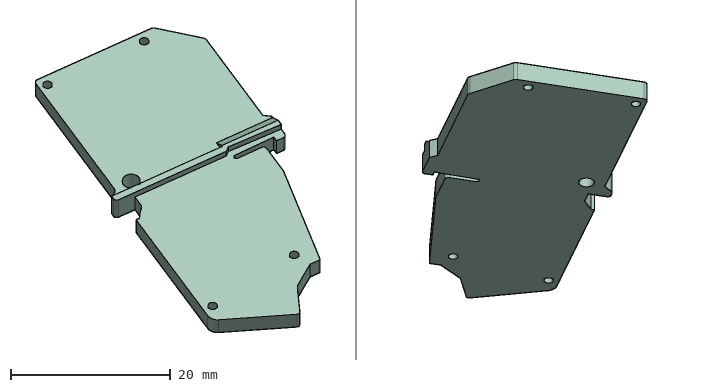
import cadquery as cq

LENGTH = 49.15
WIDTH = 24.2
PLATE_THICKNESS = 2.55
TOTAL_HEIGHT = 3.5

LEFT_BOTTOM_Y = 1.3
LEFT_TOP_Y = 23.35
LEFT_CORNER_CUT = 4.8
LEFT_CORNER_RADIUS = 0.55
CUT_CORNER_RADIUS = 0.65

SPINE_LEFT_X = 21.6
SPINE_RIGHT_X = 22.55
SPINE_CORNER_RADIUS = 0.45
FOOT_START_X = 20.4
FOOT_START_RADIUS = 0.4
FOOT_END_X = 21.4
FOOT_END_RADIUS = 0.6
SPINE_HEAD_LEFT_X = 19.85
SPINE_HEAD_FLARE = 0.7
SPINE_BEND_Y = 16.05
SPINE_BEND_RISE = 0.6
SPINE_NECK_X = 22.05
SPINE_TOP_RIGHT_X = 22.25

RAMP_START_X = 20.1
RAMP_END_X = 21.45

HOOK_RIGHT_X = 23.6
HOOK_BOTTOM_Y = 22.75
SLOT_TOP_LEFT_X = 22.9
SLOT_WIDTH = 0.6
SLOT_END_Y = 16.8

RIGHT_TOP_Y = 21.1
RIGHT_BOTTOM_Y = 1.15
SHOULDER_X = 28.25
STEP_X = 42.95
STEP_TOP_Y = 17.9
STEP_BOTTOM_Y = 16.4
NOTCH_X = 45.15
NOTCH_Y = 13.25
TIP_OVERSHOOT = 0.15
TIP_X = LENGTH + TIP_OVERSHOOT
TIP_Y = 11.3
TIP_RADIUS = 0.45
HEEL_X = 44.55
HEEL_RADIUS = 1.45
PANEL_CORNER_RADIUS = 0.5
STEP_RADIUS = 0.2

RELIEF_TOP_Y = 2.85
RELIEF_START_X = 24.2
RELIEF_END_X = 25.8
RELIEF_END_Y = 1.55

PIN_HOLE_RADIUS = 0.6
PIN_HOLE_CENTERS = [(1.4, 2.45), (1.4, 16.45), (40.65, 15.45), (42.65, 2.45)]
PIVOT_CENTER = (20.1, 3.75)
PIVOT_TOP_RADIUS = 1.15
PIVOT_BOTTOM_RADIUS = 1.0


def round_vertical_edge(solid, x, y, radius):
    """Fillet the vertical edge that passes closest to (x, y)."""
    edge = cq.selectors.NearestToPointSelector((x, y, PLATE_THICKNESS / 2))
    return solid.edges("|Z").edges(edge).fillet(radius)


def make_plate():
    """Flat plate holding both panels, the spine and the slot."""
    slot_left_x = HOOK_RIGHT_X - SLOT_WIDTH
    slot_radius = SLOT_WIDTH / 2
    slot_arc_y = SLOT_END_Y + slot_radius
    plate = (
        cq.Workplane("XY")
        .moveTo(0, LEFT_BOTTOM_Y)
        .lineTo(FOOT_START_X, LEFT_BOTTOM_Y)
        .lineTo(FOOT_END_X, 0)
        .lineTo(SPINE_RIGHT_X, 0)
        .lineTo(SPINE_RIGHT_X, RELIEF_TOP_Y)
        .lineTo(RELIEF_START_X, RELIEF_TOP_Y)
        .lineTo(RELIEF_END_X, RELIEF_END_Y)
        .lineTo(RELIEF_END_X, RIGHT_BOTTOM_Y)
        .lineTo(HEEL_X, RIGHT_BOTTOM_Y)
        .lineTo(TIP_X, TIP_Y)
        .lineTo(NOTCH_X, NOTCH_Y)
        .lineTo(STEP_X, STEP_BOTTOM_Y)
        .lineTo(STEP_X, STEP_TOP_Y)
        .lineTo(SHOULDER_X, RIGHT_TOP_Y)
        .lineTo(HOOK_RIGHT_X, RIGHT_TOP_Y)
        .lineTo(HOOK_RIGHT_X, slot_arc_y)
        .threePointArc((HOOK_RIGHT_X - slot_radius, SLOT_END_Y), (slot_left_x, slot_arc_y))
        .lineTo(SLOT_TOP_LEFT_X, HOOK_BOTTOM_Y)
        .lineTo(HOOK_RIGHT_X, HOOK_BOTTOM_Y)
        .lineTo(HOOK_RIGHT_X, WIDTH)
        .lineTo(SPINE_HEAD_LEFT_X, WIDTH)
        .lineTo(SPINE_HEAD_LEFT_X - SPINE_HEAD_FLARE, LEFT_TOP_Y)
        .lineTo(LEFT_CORNER_CUT, LEFT_TOP_Y)
        .lineTo(0, LEFT_TOP_Y - LEFT_CORNER_CUT)
        .close()
        .extrude(PLATE_THICKNESS)
    )
    rounded_corners = [
        (0, LEFT_BOTTOM_Y, LEFT_CORNER_RADIUS),
        (0, LEFT_TOP_Y - LEFT_CORNER_CUT, CUT_CORNER_RADIUS),
        (LEFT_CORNER_CUT, LEFT_TOP_Y, CUT_CORNER_RADIUS),
        (FOOT_START_X, LEFT_BOTTOM_Y, FOOT_START_RADIUS),
        (FOOT_END_X, 0, FOOT_END_RADIUS),
        (SPINE_RIGHT_X, 0, SPINE_CORNER_RADIUS),
        (HEEL_X, RIGHT_BOTTOM_Y, HEEL_RADIUS),
        (TIP_X, TIP_Y, TIP_RADIUS),
        (STEP_X, STEP_TOP_Y, STEP_RADIUS),
        (HOOK_RIGHT_X, RIGHT_TOP_Y, PANEL_CORNER_RADIUS),
        (HOOK_RIGHT_X, WIDTH, PANEL_CORNER_RADIUS),
    ]
    for x, y, radius in rounded_corners:
        plate = round_vertical_edge(plate, x, y, radius)
    return plate


def make_spine_rib():
    """Rib along the spine, bent around the end of the slot."""
    rib = (
        cq.Workplane("XY")
        .moveTo(SPINE_LEFT_X, 0)
        .lineTo(SPINE_RIGHT_X, 0)
        .lineTo(SPINE_RIGHT_X, SPINE_BEND_Y)
        .lineTo(SPINE_NECK_X, SPINE_BEND_Y + SPINE_BEND_RISE)
        .lineTo(SPINE_TOP_RIGHT_X, WIDTH)
        .lineTo(RAMP_END_X, WIDTH)
        .lineTo(RAMP_END_X, SPINE_BEND_Y)
        .lineTo(SPINE_LEFT_X, SPINE_BEND_Y - (SPINE_LEFT_X - RAMP_END_X))
        .close()
        .extrude(TOTAL_HEIGHT)
    )
    return round_vertical_edge(rib, SPINE_RIGHT_X, 0, SPINE_CORNER_RADIUS)


def make_ramp():
    """Wedge beside the upper half of the spine."""
    return (
        cq.Workplane("XZ", origin=(0, WIDTH, 0))
        .moveTo(RAMP_START_X, PLATE_THICKNESS)
        .lineTo(RAMP_END_X, TOTAL_HEIGHT)
        .lineTo(RAMP_END_X, PLATE_THICKNESS)
        .close()
        .extrude(WIDTH - SPINE_BEND_Y)
    )


def make_holes():
    """Cutters for the four pin holes and the tapered pivot hole."""
    pins = (
        cq.Workplane("XY")
        .pushPoints(PIN_HOLE_CENTERS)
        .circle(PIN_HOLE_RADIUS)
        .extrude(PLATE_THICKNESS)
    )
    pivot = (
        cq.Workplane("XY")
        .center(*PIVOT_CENTER)
        .circle(PIVOT_BOTTOM_RADIUS)
        .workplane(offset=PLATE_THICKNESS)
        .circle(PIVOT_TOP_RADIUS)
        .loft()
    )
    return pins.union(pivot)


result = make_plate().union(make_spine_rib()).union(make_ramp()).cut(make_holes())